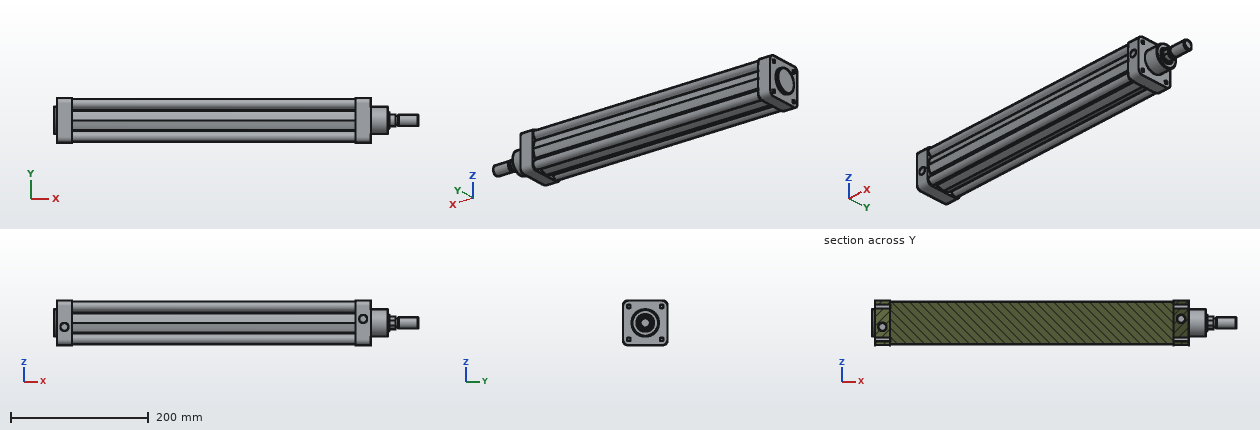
import cadquery as cq
import math


total_length = 529.0
boss_length = 4.0
cap_length = 22.0
barrel_length = 411.0
collar_length = 25.0
lip_length = 2.0

rear_cap_start = boss_length
barrel_start = rear_cap_start + cap_length
front_cap_start = barrel_start + barrel_length
front_cap_end = front_cap_start + cap_length
collar_end = front_cap_end + collar_length
lip_end = collar_end + lip_length

cap_width = 65.0
cap_corner_radius = 8.0
boss_diameter = 39.5
rim_chamfer = 1.0
lip_base_diameter = 25.5
lip_tip_diameter = 22.0
screw_spacing = 47.5
screw_hole_diameter = 5.5
port_diameter = 11.5
port_depth = 16.0
port_offset = 6.0

lobe_diameter = 14.5
lobe_center = screw_spacing / 2
round_radius = 30.0
ridge_half_width = 7.5
round_half_width = 14.0
groove_bottom = (15.5, 25.0)

rod_diameter = 19.0
rod_shoulder = 495.5
flat_width = 17.5
neck_diameter = 13.0
thread_start = 499.0
thread_diameter = 17.0
thread_chamfer = 1.5


def cylinder(start, length, diameter):
    """A cylinder on the X axis."""
    return cq.Workplane("YZ", origin=(start, 0, 0)).circle(diameter / 2).extrude(length)


def square_cap(start, port_height):
    """A square cap with four screw holes and a port in its -Y face."""
    cap = (
        cq.Workplane("YZ", origin=(start, 0, 0))
        .rect(cap_width, cap_width)
        .extrude(cap_length)
        .edges("|X")
        .fillet(cap_corner_radius)
    )
    screw_holes = (
        cq.Workplane("YZ", origin=(start, 0, 0))
        .rect(screw_spacing, screw_spacing, forConstruction=True)
        .vertices()
        .circle(screw_hole_diameter / 2)
        .extrude(cap_length)
    )
    port = cq.Workplane(
        cq.Solid.makeCylinder(
            port_diameter / 2,
            port_depth,
            cq.Vector(start + cap_length / 2, -cap_width / 2, port_height),
            cq.Vector(0, 1, 0),
        )
    )
    return cap.cut(screw_holes).cut(port)


def make_rear_cap():
    """The rear cap with a low round boss on its end."""
    boss = cylinder(0, boss_length, boss_diameter).faces("<X").chamfer(rim_chamfer)
    return square_cap(rear_cap_start, -port_offset).union(boss)


def make_front_cap():
    """The front cap with a collar and a tapered wiper lip, bored through for the rod."""
    lip = (
        cq.Workplane("YZ", origin=(collar_end, 0, 0))
        .circle(lip_base_diameter / 2)
        .workplane(offset=lip_length)
        .circle(lip_tip_diameter / 2)
        .loft()
    )
    collar = cylinder(front_cap_end, collar_length, boss_diameter)
    collar = collar.faces(">X").chamfer(rim_chamfer)
    rod_bore = cylinder(front_cap_start, lip_end - front_cap_start, rod_diameter)
    return square_cap(front_cap_start, port_offset).union(collar).union(lip).cut(rod_bore)


def turned(point, quarter_turns):
    """The point turned about the origin by quarter turns, clockwise."""
    across, out = point
    for _ in range(quarter_turns):
        across, out = out, -across
    return (across, out)


def swapped(point):
    """The point mirrored in the diagonal through a corner lobe."""
    return (point[1], point[0])


def on_round(across):
    """The point of the round wall at this distance from the middle of a side."""
    return (across, math.sqrt(round_radius**2 - across**2))


def make_barrel():
    """An extrusion with four corner lobes and a low ridge along the middle of each round side."""
    ridge_foot = on_round(ridge_half_width)
    round_middle = on_round((ridge_half_width + round_half_width) / 2)
    round_end = on_round(round_half_width)
    ridge_top = (0, round_radius**2 / ridge_foot[1])
    reach = lobe_diameter / 2 * math.sqrt(0.5)
    lobe_start = (lobe_center - reach, lobe_center + reach)
    lobe_middle = (lobe_center + reach, lobe_center + reach)

    profile = cq.Workplane("YZ", origin=(barrel_start, 0, 0)).moveTo(*ridge_top)
    for side in range(4):
        profile = (
            profile.lineTo(*turned(ridge_foot, side))
            .threePointArc(turned(round_middle, side), turned(round_end, side))
            .lineTo(*turned(groove_bottom, side))
            .lineTo(*turned(lobe_start, side))
            .threePointArc(turned(lobe_middle, side), turned(swapped(lobe_start), side))
            .lineTo(*turned(swapped(groove_bottom), side))
            .lineTo(*turned(swapped(round_end), side))
            .threePointArc(turned(swapped(round_middle), side), turned(swapped(ridge_foot), side))
            .lineTo(*turned(ridge_top, side + 1))
        )
    return profile.wire().extrude(barrel_length)


def make_rod():
    """The rod with two wrench flats, an undercut and a chamfered threaded end."""
    shaft = cylinder(front_cap_start, rod_shoulder - front_cap_start, rod_diameter)
    flat_length = rod_shoulder - lip_end
    between_flats = (
        cq.Workplane("YZ", origin=(lip_end, 0, 0)).rect(flat_width, rod_diameter).extrude(flat_length)
    )
    flats = cylinder(lip_end, flat_length, rod_diameter).cut(between_flats)
    neck = cylinder(rod_shoulder, thread_start - rod_shoulder, neck_diameter)
    thread = cylinder(thread_start, total_length - thread_start, thread_diameter)
    thread = thread.faces("<X or >X").chamfer(thread_chamfer)
    return shaft.cut(flats).union(neck).union(thread)


rear_cap = make_rear_cap()
barrel = make_barrel()
front_cap = make_front_cap()
rod = make_rod()

result = cq.Compound.makeCompound([rear_cap.val(), barrel.val(), front_cap.val(), rod.val()])